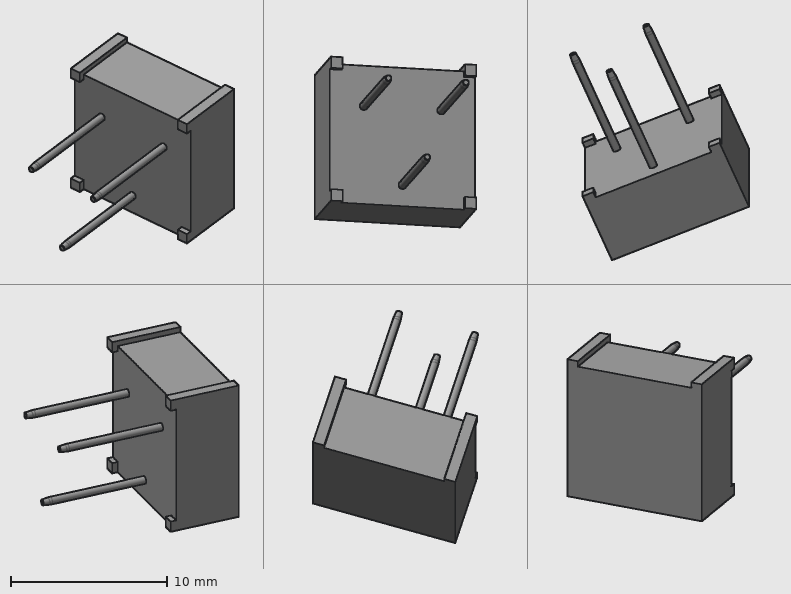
import cadquery as cq

WIDTH = 9.53
DEPTH = 4.84
STANDOFF = 0.4
FOOT = 0.75
TOP_STEP = 0.37

OVERALL_LENGTH = 11.68
PIN_DIAMETER = 0.51
PIN_PITCH = 5.08
UPPER_PIN_Z = 1.7
COLLAR_DIAMETER = 0.49
COLLAR_LENGTH = 0.18
TIP_DIAMETER = 0.4
TIP_LENGTH = 0.42
TIP_CHAMFER = 0.02

HALF = WIDTH / 2
PIN_FACE_Y = STANDOFF - DEPTH
PIN_LENGTH = OVERALL_LENGTH + PIN_FACE_Y
PIN_PLACES = [
    (-PIN_PITCH / 2, UPPER_PIN_Z),
    (PIN_PITCH / 2, UPPER_PIN_Z),
    (0, UPPER_PIN_Z - PIN_PITCH),
]


def make_housing():
    body = cq.Workplane("XY").box(WIDTH, DEPTH, WIDTH).translate((0, -DEPTH / 2, 0))
    between_feet = WIDTH - 2 * FOOT
    for size_x, size_z in [(WIDTH, between_feet), (between_feet, WIDTH)]:
        clearance = cq.Workplane("XY").box(size_x, STANDOFF, size_z)
        body = body.cut(clearance.translate((0, PIN_FACE_Y - STANDOFF / 2, 0)))
    step = cq.Workplane("XY").box(between_feet, DEPTH, TOP_STEP)
    return body.cut(step.translate((0, -DEPTH / 2, HALF - TOP_STEP / 2)))


def make_pin(x, z):
    tip_start = -PIN_LENGTH + TIP_LENGTH
    shank_end = tip_start + COLLAR_LENGTH
    half_profile = [
        (0, 0),
        (0, PIN_DIAMETER / 2),
        (shank_end, PIN_DIAMETER / 2),
        (tip_start, COLLAR_DIAMETER / 2),
        (-PIN_LENGTH + TIP_CHAMFER, TIP_DIAMETER / 2),
        (-PIN_LENGTH, TIP_DIAMETER / 2 - TIP_CHAMFER),
        (-PIN_LENGTH, 0),
    ]
    pin = cq.Workplane("YZ").polyline(half_profile).close().revolve(360, (0, 0, 0), (1, 0, 0))
    return pin.translate((x, PIN_FACE_Y, z))


housing = make_housing()
pins = [make_pin(x, z) for x, z in PIN_PLACES]

result = cq.Compound.makeCompound([housing.val(), *[pin.val() for pin in pins]])